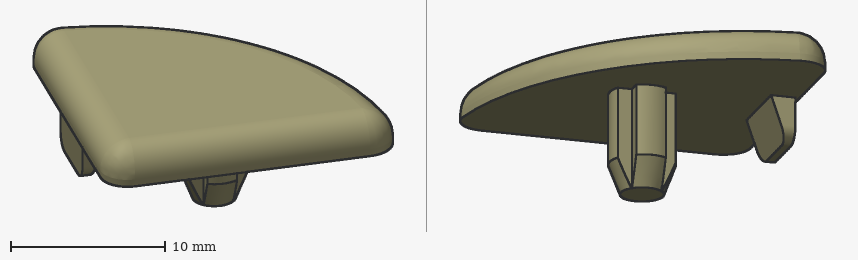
import cadquery as cq
import math

plate_side = 19.7
plate_thickness = 2.5
edge_radius = 2.0
square_corner_radius = 1.83
arc_radius = 20.0
round_clearance = 0.002
top_round_radius = edge_radius - round_clearance

plug_x = 9.77
plug_y = plate_side - plug_x
plug_radius = 2.2
plug_tip_radius = 1.44
plug_length = 6.8
plug_tip_length = 2.0
plug_arm_width = 2.0

tab_width = 5.3
tab_depth = 3.01
tab_front_y = 0.3
tab_root_thickness = 1.65
tab_tip_thickness = 0.61
tab_corner_radius = 1.0


def flat_outline():
    """Outline of the flat top face, whose sharp corners are the centres of the corner rounds."""
    near = edge_radius
    far = plate_side - edge_radius
    middle = plate_side / 2
    radius = arc_radius - edge_radius
    half_chord = (far - near) / math.sqrt(2)
    bulge = radius - math.sqrt(radius**2 - half_chord**2)
    bulge_step = bulge / math.sqrt(2)
    return (
        cq.Workplane("XY")
        .moveTo(near, near)
        .lineTo(far, near)
        .lineTo(far, far)
        .threePointArc((middle - bulge_step, middle + bulge_step), (near, near))
        .close()
    )


def make_plate():
    """Plate with a full quarter-round along its top edge and ball-shaped corners, the square one tighter."""
    plate = flat_outline().offset2D(edge_radius).extrude(plate_thickness)
    square_corner = (
        cq.Workplane("XY")
        .box(edge_radius, edge_radius, plate_thickness, centered=False)
        .translate((plate_side - edge_radius, 0, 0))
    )
    corner_edge = cq.selectors.NearestToPointSelector((plate_side, 0, plate_thickness / 2))
    plate = plate.union(square_corner)
    plate = plate.edges("|Z").edges(corner_edge).fillet(square_corner_radius)
    return plate.faces(">Z").edges().fillet(top_round_radius)


def make_plug():
    """Round pin with a conical tip, cut down to four arms."""
    shoulder_z = plug_tip_length - plug_length
    pin = (
        cq.Workplane("XZ")
        .polyline([
            (0, 0),
            (plug_radius, 0),
            (plug_radius, shoulder_z),
            (plug_tip_radius, -plug_length),
            (0, -plug_length),
        ])
        .close()
        .revolve(360, (0, 0, 0), (0, 1, 0))
    )
    arm_size = (2 * plug_radius, plug_arm_width)
    cross = (
        cq.Workplane("XY")
        .rect(*arm_size)
        .extrude(-plug_length)
        .union(cq.Workplane("XY").rect(*reversed(arm_size)).extrude(-plug_length))
    )
    return pin.intersect(cross).translate((plug_x, plug_y, 0))


def make_tab():
    """Tab with an upright outer face, a sloping inner face and rounded lower corners."""
    wedge = (
        cq.Workplane("YZ")
        .polyline([
            (tab_front_y, 0),
            (tab_front_y + tab_root_thickness, 0),
            (tab_front_y + tab_tip_thickness, -tab_depth),
            (tab_front_y, -tab_depth),
        ])
        .close()
        .extrude(tab_width)
        .translate(((plate_side - tab_width) / 2, 0, 0))
    )
    rounded_block = (
        cq.Workplane("XY")
        .box(tab_width, tab_root_thickness, tab_depth, centered=(True, False, False))
        .edges("|Y and <Z")
        .fillet(tab_corner_radius)
        .translate((plate_side / 2, tab_front_y, -tab_depth))
    )
    return wedge.intersect(rounded_block)


result = make_plate().union(make_plug()).union(make_tab())